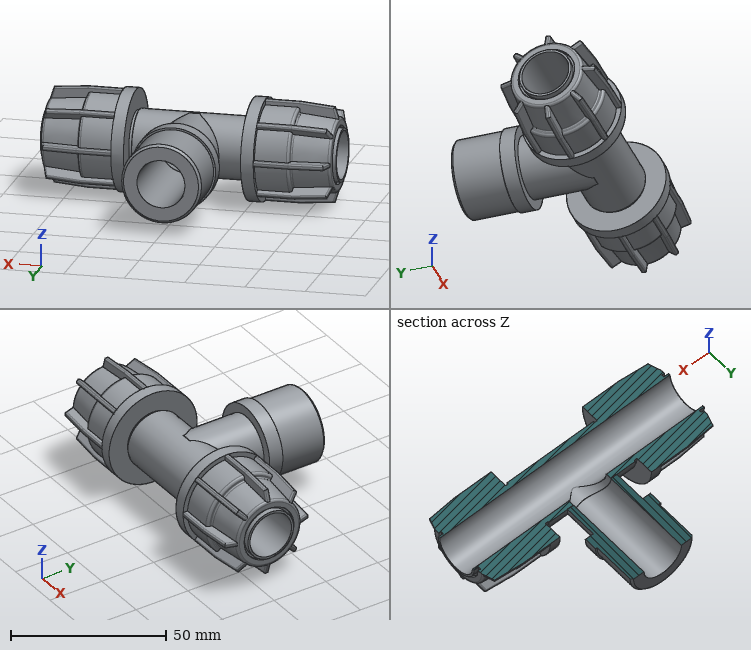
import cadquery as cq

pipe_diameter = 16.0
overall_length = 98.0
nut_diameter = 34.0
thread_diameter = 26.44
branch_length = 45.0

half_length = overall_length / 2
sleeve_diameter = 1.1 * pipe_diameter
run_diameter = 1.3 * pipe_diameter
neck_diameter = 0.95 * run_diameter
neck_length = 1.0
sleeve_protrusion = 1.0

flange_start = 19.4
flange_thickness = 4.2
flange_end = flange_start + flange_thickness
run_half_length = flange_start - neck_length
nut_end = half_length - sleeve_protrusion
mouth_diameter = 1.2 * pipe_diameter
mouth_depth = 1.0
barrel_radius = 0.45 * nut_diameter
barrel_end = 35.1
grip_root_radius = 13.5
grip_tip_radius = 12.25
shoulder_round = 0.95
shoulder_fillet = 0.5
tip_round = 0.9

rib_count = 8
rib_width = 0.05 * nut_diameter
rib_edge_round = 0.5
rib_tip_radius = 16.0
rib_tip_setback = 1.5
rib_foot_radius = grip_tip_radius - tip_round

branch_diameter = 0.8 * thread_diameter
branch_bore_diameter = 0.6 * thread_diameter
collar_diameter = 1.05 * thread_diameter
collar_start = 22.9
collar_thickness = 5.1
collar_end = collar_start + collar_thickness
spigot_chamfer = 0.8


def cylinder_x(diameter, start, end):
    """Cylinder on the X axis from start to end."""
    return cq.Workplane("YZ", origin=(start, 0, 0)).circle(diameter / 2).extrude(end - start)


def cylinder_y(diameter, start, end):
    """Cylinder on the Y axis from start to end."""
    return cq.Workplane("XZ", origin=(0, start, 0)).circle(diameter / 2).extrude(start - end)


def round_ring_edge(turned, x, radius, rounding):
    """Round the circular edge of the given radius that lies at x."""
    tolerance = 0.01
    ring = [
        edge
        for edge in turned.edges("%CIRCLE").vals()
        if abs(edge.Center().x - x) < tolerance and abs(edge.radius() - radius) < tolerance
    ]
    return turned.newObject(ring).fillet(rounding)


def nut_wall():
    """Flange, barrel and tapered grip of the +X nut, turned solid about X."""
    wall = (
        cq.Workplane("XY")
        .moveTo(flange_start, 0)
        .lineTo(flange_start, nut_diameter / 2)
        .lineTo(flange_end, nut_diameter / 2)
        .lineTo(flange_end, barrel_radius)
        .lineTo(barrel_end, barrel_radius)
        .lineTo(barrel_end, grip_root_radius)
        .lineTo(nut_end, grip_tip_radius)
        .lineTo(nut_end, 0)
        .close()
        .revolve(360, (0, 0, 0), (1, 0, 0))
    )
    wall = round_ring_edge(wall, nut_end, grip_tip_radius, tip_round)
    wall = round_ring_edge(wall, barrel_end, grip_root_radius, shoulder_fillet)
    return round_ring_edge(wall, barrel_end, barrel_radius, shoulder_round)


def grip_rib():
    """One rib of the +X nut, standing along +Z, with rounded outer edges."""
    return (
        cq.Workplane("XZ", origin=(0, rib_width / 2, 0))
        .moveTo(flange_end, rib_foot_radius)
        .lineTo(flange_end, nut_diameter / 2)
        .lineTo(barrel_end, nut_diameter / 2)
        .lineTo(nut_end - rib_tip_setback, rib_tip_radius)
        .lineTo(nut_end, rib_foot_radius)
        .close()
        .extrude(rib_width)
        .edges("not(|Y or <X or <Z)")
        .fillet(rib_edge_round)
    )


def nut():
    """The +X nut with its ribs and the shallow mouth recess around the sleeve."""
    body = nut_wall()
    rib = grip_rib()
    for index in range(rib_count):
        body = body.union(rib.rotate((0, 0, 0), (1, 0, 0), index * 360 / rib_count))
    return body.cut(cylinder_x(mouth_diameter, nut_end - mouth_depth, nut_end))


def make_run():
    """Run tube along X with a nut at each end, opened on +Y into the branch."""
    positive_nut = nut()
    body = cylinder_x(run_diameter, -run_half_length, run_half_length)
    body = body.union(cylinder_x(neck_diameter, -flange_start, flange_start))
    body = body.union(positive_nut).union(positive_nut.mirror("YZ"))
    body = body.union(cylinder_x(sleeve_diameter, -half_length, half_length))
    body = body.cut(cylinder_x(pipe_diameter, -half_length, half_length))
    return body.cut(cylinder_y(branch_bore_diameter, 0, branch_length))


def make_branch():
    """Branch along +Y: saddle on the run, neck, collar and chamfered spigot."""
    spigot = cylinder_y(thread_diameter, collar_end, branch_length)
    spigot = spigot.faces(">Y").chamfer(spigot_chamfer)
    body = cylinder_y(branch_diameter, 0, collar_start)
    body = body.union(cylinder_y(collar_diameter, collar_start, collar_end))
    body = body.union(spigot)
    body = body.cut(cylinder_y(branch_bore_diameter, 0, branch_length))
    return body.cut(cylinder_x(run_diameter, -run_half_length, run_half_length))


run = make_run()
branch = make_branch()

result = cq.Compound.makeCompound([run.solids().val(), branch.solids().val()])